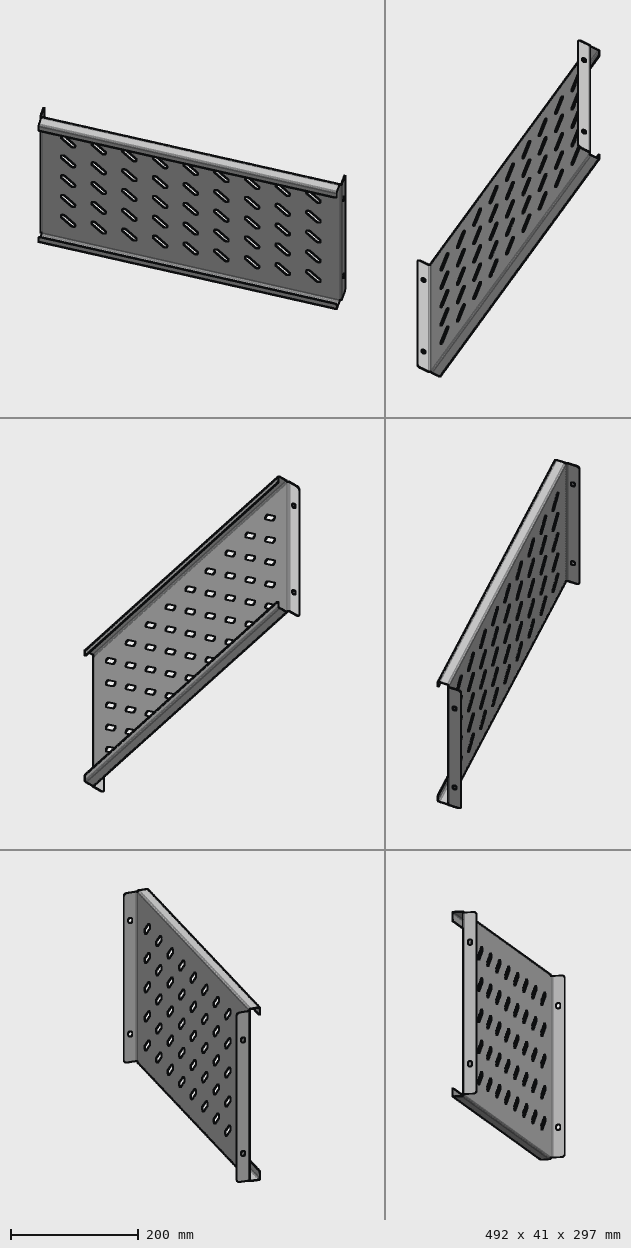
import cadquery as cq

WIDTH = 492.0
DEPTH = 41.0
HEIGHT = 297.0

THICKNESS = 1.53
BEND_RADIUS = 3.05
INNER_RADIUS = BEND_RADIUS - THICKNESS
PANEL_FRONT = 17.5
LIP_DROP = 15.0
LIP_CORNER = 3.0
FLANGE_CORNER = 5.0

PANEL_WIDTH = WIDTH - 2 * BEND_RADIUS
PANEL_HEIGHT = HEIGHT - 2 * BEND_RADIUS
PANEL_BACK = PANEL_FRONT + THICKNESS

SLOT_COLUMNS = 9
SLOT_ROWS = 5
SLOT_SPAN = 400.0
SLOT_PITCH = SLOT_SPAN / (SLOT_COLUMNS - 1)
SLOT_LENGTH = 30.5
SLOT_WIDTH = 8.5
SLOT_ANGLE = 45

MOUNT_LENGTH = 9.0
MOUNT_WIDTH = 7.0
MOUNT_Y = 30.0
MOUNT_SPACING = 195.0


def make_panel():
    """Flat panel between the folds."""
    return cq.Workplane("XY").box(PANEL_WIDTH, THICKNESS, PANEL_HEIGHT).translate(
        (0, PANEL_FRONT + THICKNESS / 2, 0)
    )


def make_flange():
    """Right-hand side flange, folded backwards from the panel."""
    outside = WIDTH / 2
    inside = outside - THICKNESS
    bend_x = outside - BEND_RADIUS
    bend_y = PANEL_FRONT + BEND_RADIUS
    profile = (
        cq.Workplane("XY")
        .moveTo(bend_x, PANEL_FRONT)
        .radiusArc((outside, bend_y), -BEND_RADIUS)
        .lineTo(outside, DEPTH)
        .lineTo(inside, DEPTH)
        .lineTo(inside, bend_y)
        .radiusArc((bend_x, PANEL_BACK), INNER_RADIUS)
        .close()
    )
    flange = profile.extrude(PANEL_HEIGHT / 2, both=True)
    return flange.faces(">Y").edges("|X").fillet(FLANGE_CORNER)


def make_rail():
    """Top rail, folded forwards from the panel and ending in a downward lip."""
    top = HEIGHT / 2
    under = top - THICKNESS
    lip_end = top - LIP_DROP
    bend_z = top - BEND_RADIUS
    profile = (
        cq.Workplane("YZ")
        .moveTo(PANEL_BACK, bend_z)
        .radiusArc((PANEL_BACK - BEND_RADIUS, top), -BEND_RADIUS)
        .lineTo(BEND_RADIUS, top)
        .radiusArc((0, bend_z), -BEND_RADIUS)
        .lineTo(0, lip_end)
        .lineTo(THICKNESS, lip_end)
        .lineTo(THICKNESS, bend_z)
        .radiusArc((BEND_RADIUS, under), INNER_RADIUS)
        .lineTo(PANEL_BACK - BEND_RADIUS, under)
        .radiusArc((PANEL_FRONT, bend_z), INNER_RADIUS)
        .close()
    )
    rail = profile.extrude(PANEL_WIDTH / 2, both=True)
    return rail.faces("<Z").edges("|Y").fillet(LIP_CORNER)


def make_panel_slots():
    """Cutters for the grid of diagonal slots, falling towards +X."""
    return (
        cq.Workplane("XZ", origin=(0, DEPTH, 0))
        .rarray(SLOT_PITCH, SLOT_PITCH, SLOT_COLUMNS, SLOT_ROWS)
        .slot2D(SLOT_LENGTH, SLOT_WIDTH, -SLOT_ANGLE)
        .extrude(DEPTH)
    )


def make_mount_slots():
    """Cutters for the upright slots through both side flanges."""
    return (
        cq.Workplane("YZ")
        .pushPoints([(MOUNT_Y, side * MOUNT_SPACING / 2) for side in (-1, 1)])
        .slot2D(MOUNT_LENGTH, MOUNT_WIDTH, 90)
        .extrude(WIDTH, both=True)
    )


flange = make_flange()
rail = make_rail()
result = (
    make_panel()
    .union(flange)
    .union(flange.mirror("YZ"))
    .union(rail)
    .union(rail.mirror("XY"))
    .cut(make_panel_slots())
    .cut(make_mount_slots())
)